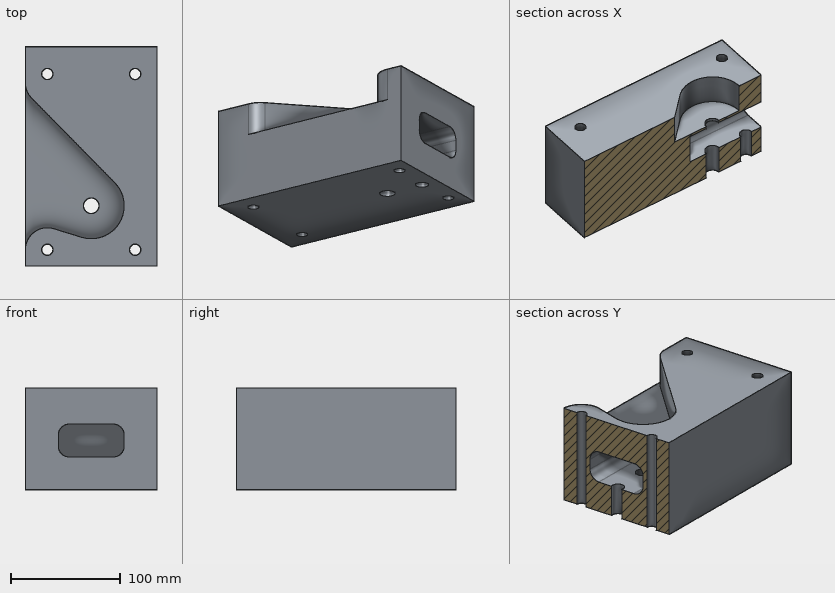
import cadquery as cq
import math

width = 120.0
length = 200.0
height = 93.0

mount_diameter = 10.0
mount_spacing_x = 80.0
mount_spacing_y = 160.0
mount_front_margin = 15.0
front_row_y = -length / 2 + mount_front_margin
back_row_y = front_row_y + mount_spacing_y

pocket_depth = 30.0
pivot_radius = 30.0
pivot_front_margin = 55.0
pivot_y = -length / 2 + pivot_front_margin
lip_radius = 20.0
lip_x = -width / 2 + lip_radius
front_lip_y = front_row_y
back_lip_y = 67.0
pivot_hole_diameter = 14.0

slot_width = 60.0
slot_height = 30.0
slot_floor_z = 30.0
slot_depth = 80.0
slot_corner_radius = 10.0
drain_diameter = 12.0
drain_front_margin = 17.0
drain_y = -length / 2 + drain_front_margin


def on_circle(center, radius, angle):
    """Point on a circle at an angle in radians."""
    return (center[0] + radius * math.cos(angle), center[1] + radius * math.sin(angle))


def tangent_angle(lip, pivot, side):
    """Angle at the pivot of the line that crosses from the pivot arc to a lip arc.

    side is -1 for a tangent clockwise of the centre line and +1 for the other one.
    """
    dx = lip[0] - pivot[0]
    dy = lip[1] - pivot[1]
    spread = math.acos((pivot_radius + lip_radius) / math.hypot(dx, dy))
    return math.atan2(dy, dx) + side * spread


def make_pocket():
    """Pocket bounded by two convex lips, two tangent walls and the pivot arc."""
    pivot = (0.0, pivot_y)
    back_lip = (lip_x, back_lip_y)
    front_lip = (lip_x, front_lip_y)
    back_angle = tangent_angle(back_lip, pivot, -1)
    front_angle = tangent_angle(front_lip, pivot, 1)

    back_lip_angle = back_angle + math.pi
    front_lip_angle = front_angle + math.pi
    back_lip_middle = (math.pi + back_lip_angle) / 2
    front_lip_middle = (math.pi + front_lip_angle) / 2

    return (
        cq.Workplane("XY", origin=(0, 0, height - pocket_depth))
        .moveTo(-width / 2, back_lip_y)
        .threePointArc(
            on_circle(back_lip, lip_radius, back_lip_middle),
            on_circle(back_lip, lip_radius, back_lip_angle),
        )
        .lineTo(*on_circle(pivot, pivot_radius, back_angle))
        .threePointArc(
            on_circle(pivot, pivot_radius, 0.0),
            on_circle(pivot, pivot_radius, front_angle),
        )
        .lineTo(*on_circle(front_lip, lip_radius, front_lip_angle))
        .threePointArc(
            on_circle(front_lip, lip_radius, front_lip_middle),
            (-width / 2, front_lip_y),
        )
        .close()
        .extrude(pocket_depth)
    )


def make_slot():
    """Rounded slot running back from the front face."""
    return (
        cq.Workplane("XY")
        .box(slot_width, slot_depth, slot_height, centered=(True, False, False))
        .edges("|Y")
        .fillet(slot_corner_radius)
        .translate((0, -length / 2, slot_floor_z))
    )


def vertical_hole(x, y, diameter, depth):
    """Cylinder rising from the bottom face."""
    return cq.Workplane("XY").center(x, y).circle(diameter / 2).extrude(depth)


result = cq.Workplane("XY").box(width, length, height, centered=(True, True, False))
result = result.cut(make_pocket()).cut(make_slot())

for hole_x in (-mount_spacing_x / 2, mount_spacing_x / 2):
    for hole_y in (front_row_y, back_row_y):
        result = result.cut(vertical_hole(hole_x, hole_y, mount_diameter, height))

result = result.cut(vertical_hole(0, pivot_y, pivot_hole_diameter, height))

result = result.cut(vertical_hole(0, drain_y, drain_diameter, slot_floor_z + slot_height / 2))